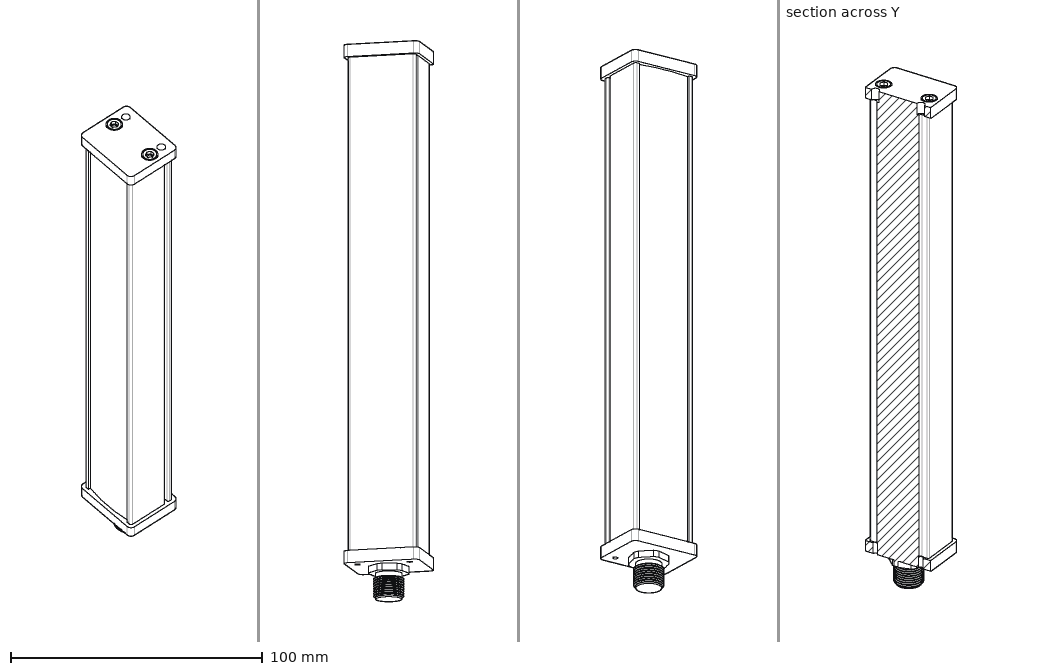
import cadquery as cq
import math

CAP_WIDTH = 31.0
CAP_DEPTH = 25.0
CAP_THICKNESS = 5.0
CAP_CORNER_RADIUS = 2.0

BODY_WIDTH = 28.0
BODY_DEPTH = 22.0
BODY_LENGTH = 200.0
BODY_CORNER_RADIUS = 1.0
WINDOW_WIDTH = 23.6
WINDOW_BULGE = 1.0

FASTENER_X = 10.75
GROOVE_Y = 7.8
GROOVE_WIDTH = 1.4
GROOVE_LIP_RADIUS = 0.7
UPPER_HOLE_DIAMETER = 3.4
LOWER_HOLE_DIAMETER = 2.0

SCREW_Y = 1.7
SCREW_BORE_DIAMETER = 6.5
SCREW_HEAD_DIAMETER = 5.5
SCREW_HEAD_HEIGHT = 3.0
SOCKET_ACROSS_FLATS = 3.0
SOCKET_DEPTH = 1.5
SOCKET_CONE_DIAMETER = 2.0
SOCKET_CONE_DEPTH = 0.7

CONNECTOR_LENGTH = 13.1
NUT_ACROSS_FLATS = 15.0
NUT_DIAMETER = 16.2
NUT_HEIGHT = 2.7
NUT_CORNER_ANGLE = 17.5
NECK_DIAMETER = 10.6
THREAD_DIAMETER = 12.0
THREAD_PITCH = 1.0
THREAD_DEPTH = 0.6
THREAD_CREST = 0.15
THREAD_ROOT = 0.15
THREAD_START = 4.5
THREAD_TURNS = 8
TIP_DIAMETER = 10.4

BODY_BOTTOM_Z = CAP_THICKNESS
BODY_TOP_Z = BODY_BOTTOM_Z + BODY_LENGTH
TOP_Z = BODY_TOP_Z + CAP_THICKNESS


def hexagon_diameter(across_flats):
    """Across-corners size of a hexagon."""
    return across_flats / math.cos(math.pi / 6)


def make_cap(bottom_z):
    """Rounded rectangular plate with its underside at bottom_z."""
    plate = cq.Workplane("XY").workplane(offset=bottom_z).rect(CAP_WIDTH, CAP_DEPTH).extrude(CAP_THICKNESS)
    return plate.edges("|Z").fillet(CAP_CORNER_RADIUS)


def make_body():
    """Rounded extrusion; the bowed window dips at its sides and its crown meets the front face."""
    base = cq.Workplane("XY").workplane(offset=BODY_BOTTOM_Z)
    profile = base.rect(BODY_WIDTH, BODY_DEPTH).extrude(BODY_LENGTH)
    profile = profile.edges("|Z").fillet(BODY_CORNER_RADIUS)
    half_window = WINDOW_WIDTH / 2
    crown_y = -BODY_DEPTH / 2
    rim_y = crown_y + WINDOW_BULGE
    outside_y = -CAP_DEPTH / 2
    recess = (
        base.moveTo(-half_window, outside_y)
        .lineTo(-half_window, rim_y)
        .threePointArc((0, crown_y), (half_window, rim_y))
        .lineTo(half_window, outside_y)
        .close()
        .extrude(BODY_LENGTH)
    )
    return profile.cut(recess)


def make_side_groove(side):
    """Full-length groove: flared mouth with round lips, parallel walls, round floor."""
    half_width = GROOVE_WIDTH / 2
    mouth_half = half_width + GROOVE_LIP_RADIUS
    face_x = BODY_WIDTH / 2
    wall_x = face_x - GROOVE_LIP_RADIUS
    lip_offset = GROOVE_LIP_RADIUS * (1 - math.sqrt(0.5))
    lip_mid_x = face_x - lip_offset
    lip_mid_half = half_width + lip_offset
    return (
        cq.Workplane("XY")
        .workplane(offset=BODY_BOTTOM_Z)
        .moveTo(side * face_x, GROOVE_Y + mouth_half)
        .threePointArc((side * lip_mid_x, GROOVE_Y + lip_mid_half), (side * wall_x, GROOVE_Y + half_width))
        .lineTo(side * FASTENER_X, GROOVE_Y + half_width)
        .threePointArc((side * (FASTENER_X - half_width), GROOVE_Y), (side * FASTENER_X, GROOVE_Y - half_width))
        .lineTo(side * wall_x, GROOVE_Y - half_width)
        .threePointArc((side * lip_mid_x, GROOVE_Y - lip_mid_half), (side * face_x, GROOVE_Y - mouth_half))
        .close()
        .extrude(BODY_LENGTH)
    )


def make_cap_hole(side, bottom_z, diameter):
    """Through hole of one cap, in line with the floor of a side groove."""
    base = cq.Workplane("XY").workplane(offset=bottom_z)
    return base.center(side * FASTENER_X, GROOVE_Y).circle(diameter / 2).extrude(CAP_THICKNESS)


def make_screw_recess(side):
    """Ring gap around a flush screw head, together with its hexagon socket and drill point."""
    top = cq.Workplane("XY").workplane(offset=TOP_Z).center(side * FASTENER_X, SCREW_Y)
    gap = top.circle(SCREW_BORE_DIAMETER / 2).circle(SCREW_HEAD_DIAMETER / 2).extrude(-SCREW_HEAD_HEIGHT)
    socket = top.polygon(6, hexagon_diameter(SOCKET_ACROSS_FLATS)).extrude(-SOCKET_DEPTH)
    cone = cq.Solid.makeCone(
        SOCKET_CONE_DIAMETER / 2,
        0,
        SOCKET_CONE_DEPTH,
        pnt=cq.Vector(side * FASTENER_X, SCREW_Y, TOP_Z - SOCKET_DEPTH),
        dir=cq.Vector(0, 0, -1),
    )
    return gap.union(socket.union(cq.Workplane(cone)))


def make_nut():
    """Hexagon nut with turned-down corners."""
    hexagon = cq.Workplane("XY").polygon(6, hexagon_diameter(NUT_ACROSS_FLATS)).extrude(-NUT_HEIGHT)
    hexagon = hexagon.rotate((0, 0, 0), (0, 0, 1), NUT_CORNER_ANGLE)
    return hexagon.intersect(cq.Workplane("XY").circle(NUT_DIAMETER / 2).extrude(-NUT_HEIGHT))


def make_plug():
    """Round plug: smooth neck, thread as ring ridges, narrower tip."""
    neck_radius = NECK_DIAMETER / 2
    crest_radius = THREAD_DIAMETER / 2
    root_radius = crest_radius - THREAD_DEPTH
    flank_length = (THREAD_PITCH - THREAD_CREST - THREAD_ROOT) / 2
    tip_radius = TIP_DIAMETER / 2
    outline = cq.Workplane("XZ").lineTo(neck_radius, 0).lineTo(neck_radius, -THREAD_START)
    outline = outline.lineTo(root_radius, -THREAD_START)
    for turn in range(THREAD_TURNS):
        start = THREAD_START + turn * THREAD_PITCH
        outline = outline.lineTo(crest_radius, -(start + flank_length))
        outline = outline.lineTo(crest_radius, -(start + flank_length + THREAD_CREST))
        outline = outline.lineTo(root_radius, -(start + 2 * flank_length + THREAD_CREST))
        outline = outline.lineTo(root_radius, -(start + THREAD_PITCH))
    outline = outline.lineTo(tip_radius, -CONNECTOR_LENGTH).lineTo(0, -CONNECTOR_LENGTH).close()
    return outline.revolve(360, (0, 0, 0), (0, 1, 0))


result = make_body().union(make_cap(0)).union(make_cap(BODY_TOP_Z))
for side in (-1, 1):
    result = result.cut(make_side_groove(side))
    result = result.cut(make_cap_hole(side, 0, LOWER_HOLE_DIAMETER))
    result = result.cut(make_cap_hole(side, BODY_TOP_Z, UPPER_HOLE_DIAMETER))
    result = result.cut(make_screw_recess(side))
result = result.union(make_nut()).union(make_plug())